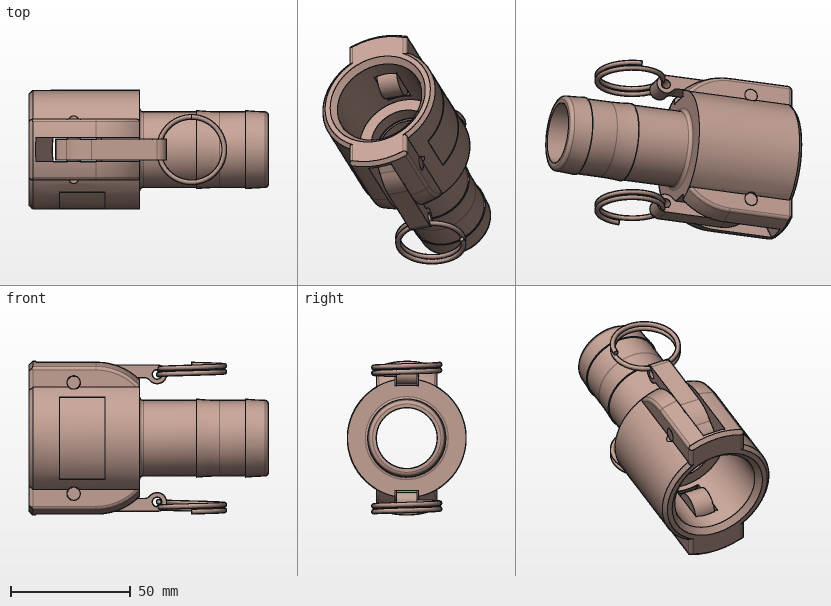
import cadquery as cq
import math


total_length = 100.2
body_length = 46.3
body_radius = 49.78 / 2
edge_size = 1.59

socket_radius = 37.34 / 2
mouth_chamfer = 2.38
gasket_outer_radius = 39.69 / 2
gasket_inner_radius = 26.99 / 2
groove_radius = 40.49 / 2
gasket_start = 31.0
gasket_thickness = 6.35
flow_radius = 25.4 / 2
flow_chamfer = 0.5
shank_radius = 31.75 / 2
shank_fillet = 1.5
barb_length = 9.525
barb_height = 0.5
barb_ends = (total_length - 20.6, total_length)

ear_radius = 64.43 / 2
ear_half_width = 12.75
ear_flat_length = 28.1

slot_half_width = 5.0
slot_front_top = 2.75
slot_front_bore = 9.8
slot_back_bore = 28.2
slot_back_floor = 30.3
slot_floor = 22.0

pin_x = 18.7
pin_z = 23.25
pin_radius = 5.51 / 2
pin_hole_radius = 5.56 / 2
lever_hole_radius = 5.71 / 2

lever_width = 8.73
lever_top = 30.65
lever_underside = 25.2
cam_reach = 9.25
back_arc_radius = 15.875
back_arc_start_x = 26.2
back_arc_end_x = 15.7
nose_x = 11.1
eye_x = 53.6
eye_radius = 3.96
eye_hole_radius = 3.96 / 2
neck_radius = 2.75

wire_radius = 1.984 / 2
ring_inner_radius = 25.4 / 2
ring_turns = 1.75
ring_pitch = 2.4
ring_center_x = 68.0
ring_start_z = 26.6

label_start = 12.7
label_length = 19.05
label_wrap = 38.1
label_thickness = 0.25

X_AXIS = ((0, 0, 0), (1, 0, 0))


def revolve_about_x(profile):
    """Turn a closed XY profile (x, radius) about the X axis."""
    return profile.close().revolve(360, *X_AXIS)


def tube(start, length, outer, inner):
    return cq.Workplane("YZ").workplane(offset=start).circle(outer).circle(inner).extrude(length)


def rod(start, length, radius):
    return cq.Workplane("YZ").workplane(offset=start).circle(radius).extrude(length)


def turned_over(shape):
    """Copy of an upper part swung half a turn about X to the lower side."""
    return shape.rotate(*X_AXIS, 180)


def pin_rod(radius, half_length):
    return (
        cq.Workplane("XZ", origin=(pin_x, half_length, pin_z))
        .circle(radius)
        .extrude(2 * half_length)
    )


def make_barrel():
    """Plain outer body with a chamfered mouth edge."""
    return rod(0, body_length, body_radius).faces("<X").chamfer(edge_size)


def make_ears():
    """Both ears: a turned crown, arced down to the body at its end, trimmed to a flat-sided block."""
    end_run = body_length - ear_flat_length
    end_drop = ear_radius - body_radius
    ear_end_radius = (end_run**2 + end_drop**2) / (2 * end_drop)
    arc_center_r = ear_radius - ear_end_radius
    half_run = end_run / 2

    def end_arc_r(run):
        return arc_center_r + math.sqrt(ear_end_radius**2 - run**2)

    def crown(chamfer):
        profile = cq.Workplane("XY").moveTo(0, 0).lineTo(0, ear_radius - chamfer)
        if chamfer:
            profile = profile.lineTo(chamfer, ear_radius)
        profile = (
            profile.lineTo(ear_flat_length, ear_radius)
            .threePointArc(
                (ear_flat_length + half_run, end_arc_r(half_run)),
                (body_length, end_arc_r(end_run)),
            )
            .lineTo(body_length, 0)
        )
        return revolve_about_x(profile)

    block = cq.Workplane("XY").box(
        body_length, 2 * ear_half_width, 3 * ear_radius, centered=(False, True, True)
    )
    sharp = block.intersect(crown(0))
    crown_edges = sharp.faces("<Y or >Y").edges("not(<X or >X)")
    rounded = crown_edges.fillet(edge_size)
    front_rounded_block = block.edges("|Z and <X").fillet(edge_size)
    return rounded.intersect(front_rounded_block).intersect(crown(edge_size))


def make_shank():
    """Hose shank with two barbs, each fading into the shank along a hollow arc."""
    shank = rod(0, total_length, shank_radius)
    mid_height = barb_height / 4
    for end in barb_ends:
        start = end - barb_length
        profile = (
            cq.Workplane("XY")
            .moveTo(start, 0)
            .lineTo(start, shank_radius + barb_height)
            .threePointArc((end - barb_length / 2, shank_radius + mid_height), (end, shank_radius))
            .lineTo(end, 0)
        )
        shank = shank.union(revolve_about_x(profile))
    return shank.faces(">X").edges().fillet(edge_size)


def make_shank_fillet():
    """Hollow round where the shank leaves the body."""
    outer = shank_radius + shank_fillet
    profile = (
        cq.Workplane("XY")
        .moveTo(body_length, flow_radius)
        .lineTo(body_length, outer)
        .radiusArc((body_length + shank_fillet, shank_radius), -shank_fillet)
        .lineTo(body_length + shank_fillet, flow_radius)
    )
    return revolve_about_x(profile)


def make_bore():
    """Socket with chamfered mouth, gasket groove and flow passage with an eased entry."""
    mouth_radius = socket_radius + mouth_chamfer
    gasket_end = gasket_start + gasket_thickness
    profile = (
        cq.Workplane("XY")
        .moveTo(0, 0)
        .lineTo(0, mouth_radius)
        .lineTo(mouth_chamfer, socket_radius)
        .lineTo(gasket_start, socket_radius)
        .lineTo(gasket_start, groove_radius)
        .lineTo(gasket_end, groove_radius)
        .lineTo(gasket_end, flow_radius + flow_chamfer)
        .lineTo(gasket_end + flow_chamfer, flow_radius)
        .lineTo(total_length, flow_radius)
        .lineTo(total_length, 0)
    )
    return revolve_about_x(profile)


def make_slot():
    """Lever slot: sloping front wall, opening into the socket, with a floor behind it."""
    slot_bottom = flow_radius
    slope = (slot_front_bore - slot_front_top) / (ear_radius - socket_radius)
    front_bottom = slot_front_bore + slope * (socket_radius - slot_bottom)
    return (
        cq.Workplane("XZ", origin=(0, slot_half_width, 0))
        .moveTo(slot_front_top, ear_radius)
        .lineTo(front_bottom, slot_bottom)
        .lineTo(slot_back_bore, slot_bottom)
        .lineTo(slot_back_bore, socket_radius)
        .lineTo(slot_back_floor, slot_floor)
        .lineTo(body_length, slot_floor)
        .lineTo(body_length, ear_radius)
        .close()
        .extrude(2 * slot_half_width)
    )


def make_housing(label):
    housing = make_barrel().union(make_ears()).union(make_shank()).union(make_shank_fillet())
    housing = housing.cut(make_bore())
    slot = make_slot()
    pin_hole = pin_rod(pin_hole_radius, body_radius)
    for cutter in (slot, pin_hole):
        housing = housing.cut(cutter).cut(turned_over(cutter))
    return housing.cut(label)


def make_label():
    """Thin curved plate, flush with the body, centred on the -Y side."""
    half_angle = label_wrap / body_radius / 2
    reach = 2 * body_radius
    edge_z = reach * math.tan(half_angle)
    sector = (
        cq.Workplane("YZ")
        .workplane(offset=label_start)
        .polyline([(0, 0), (-reach, edge_z), (-reach, -edge_z)])
        .close()
        .extrude(label_length)
    )
    shell = tube(label_start, label_length, body_radius, body_radius - label_thickness)
    return shell.intersect(sector)


def make_gasket():
    return tube(gasket_start, gasket_thickness, gasket_outer_radius, gasket_inner_radius)


def make_pin():
    return pin_rod(pin_radius, ear_half_width)


def make_ring():
    """Coil that starts in the lever eye and climbs to a free end on the +Y side."""
    coil_radius = ring_inner_radius + wire_radius
    path = cq.Wire.makeHelix(ring_pitch, ring_pitch * ring_turns, coil_radius)
    coil = (
        cq.Workplane("XZ")
        .center(coil_radius, 0)
        .circle(wire_radius)
        .sweep(cq.Workplane(obj=path), isFrenet=True)
    )
    half_turn = coil.rotate((0, 0, 0), (0, 0, 1), 180)
    return half_turn.translate((ring_center_x, 0, ring_start_z))


def make_lever(ring):
    """Flat lever with a cam around the pin at one end and a ring eye at the other."""
    eye_z = lever_top - eye_radius

    back_center_z = lever_top - back_arc_radius
    back_run = back_arc_start_x - back_arc_end_x
    back_end_z = back_center_z + math.sqrt(back_arc_radius**2 - back_run**2)
    back_half = back_run / 2
    back_mid_z = back_center_z + math.sqrt(back_arc_radius**2 - back_half**2)

    back_end_direction = (back_center_z - back_end_z, -back_run)

    cam_radius = pin_x - nose_x
    cam_bottom_z = pin_z - cam_reach
    cam_center_z = cam_bottom_z + cam_radius
    cam_end_x = pin_x + math.sqrt(cam_radius**2 - (lever_underside - cam_center_z) ** 2)

    neck_z = lever_underside - neck_radius
    center_gap = neck_radius + eye_radius
    neck_x = eye_x - math.sqrt(center_gap**2 - (eye_z - neck_z) ** 2)
    touch_x = eye_x + (neck_x - eye_x) * eye_radius / center_gap
    touch_z = eye_z + (neck_z - eye_z) * eye_radius / center_gap

    outline = (
        cq.Workplane("XZ", origin=(0, lever_width / 2, 0))
        .moveTo(eye_x, lever_top)
        .lineTo(back_arc_start_x, lever_top)
        .threePointArc((back_arc_start_x - back_half, back_mid_z), (back_arc_end_x, back_end_z))
        .spline(
            [(nose_x, cam_center_z)],
            tangents=[back_end_direction, (0, -1)],
            includeCurrent=True,
        )
        .threePointArc((pin_x, cam_bottom_z), (cam_end_x, lever_underside))
        .lineTo(neck_x, lever_underside)
        .radiusArc((touch_x, touch_z), neck_radius)
        .threePointArc((eye_x + eye_radius, eye_z), (eye_x, lever_top))
        .close()
    )
    lever = outline.extrude(lever_width)
    eye_hole = (
        cq.Workplane("XZ", origin=(eye_x, lever_width / 2, eye_z))
        .circle(eye_hole_radius)
        .extrude(lever_width)
    )
    pivot_hole = pin_rod(lever_hole_radius, lever_width / 2)
    return lever.cut(eye_hole).cut(pivot_hole).cut(ring)


label = make_label()
gasket = make_gasket()
housing = make_housing(label)

bodies = [housing.val(), gasket.val(), label.val()]
ring = make_ring()
for part in (make_pin(), make_lever(ring), ring):
    bodies += [part.val(), turned_over(part).val()]

result = cq.Compound.makeCompound(bodies)